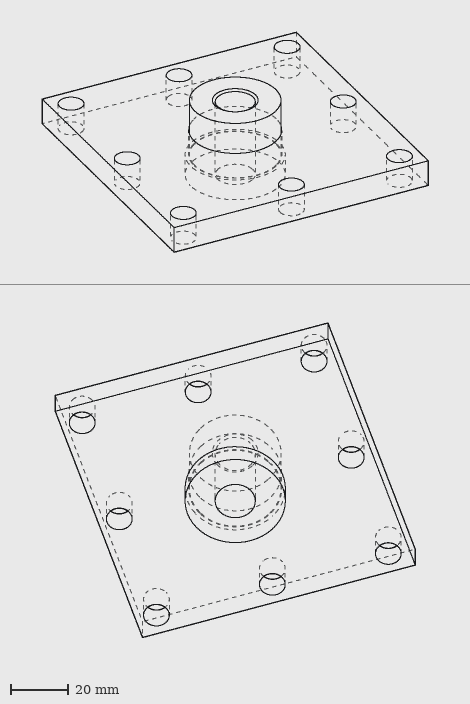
import cadquery as cq

plate_side = 100.0
plate_thickness = 10.0
bolt_hole_diameter = 9.0
bolt_hole_edge_distance = 7.5
bolt_spacing = plate_side / 2 - bolt_hole_edge_distance

flange_diameter = 35.0
flange_height = 8.0
sleeve_diameter = 32.0
sleeve_projection = 12.0
bore_diameter = 14.0
bore_chamfer_width = 1.0
bore_chamfer_depth = 0.6
center_hole_diameter = 32.5


def make_plate():
    """Plate with a central clearance hole and eight bolt holes around its border."""
    steps = (-1, 0, 1)
    bolt_points = [
        (column * bolt_spacing, row * bolt_spacing)
        for column in steps
        for row in steps
        if (column, row) != (0, 0)
    ]
    base = cq.Workplane("XY", origin=(0, 0, flange_height))
    plate = base.rect(plate_side, plate_side).extrude(plate_thickness)
    plate = plate.faces(">Z").workplane().hole(center_hole_diameter)
    return plate.faces(">Z").workplane().pushPoints(bolt_points).hole(bolt_hole_diameter)


def make_bushing():
    """Sleeve on a bottom flange, with a through bore chamfered at its upper end."""
    flange_radius = flange_diameter / 2
    sleeve_radius = sleeve_diameter / 2
    bore_radius = bore_diameter / 2
    top = flange_height + plate_thickness + sleeve_projection
    half_section = [
        (bore_radius, 0),
        (flange_radius, 0),
        (flange_radius, flange_height),
        (sleeve_radius, flange_height),
        (sleeve_radius, top),
        (bore_radius + bore_chamfer_width, top),
        (bore_radius, top - bore_chamfer_depth),
    ]
    return cq.Workplane("XZ").polyline(half_section).close().revolve(360, (0, 0), (0, 1))


plate = make_plate()
bushing = make_bushing()

result = cq.Compound.makeCompound([plate.val(), bushing.val()])